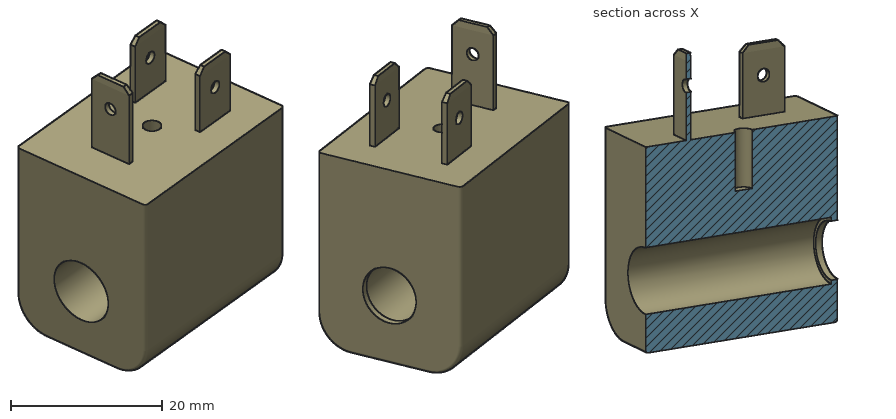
import cadquery as cq

BODY_WIDTH = 21.8
BODY_DEPTH = 29.5
TOTAL_HEIGHT = 40.5
FRONT_BLADE_HEIGHT = 12.0
BODY_HEIGHT = TOTAL_HEIGHT - FRONT_BLADE_HEIGHT
BOTTOM_CORNER_RADIUS = 5.0
EDGE_RADIUS = 0.5

BORE_DIAMETER = 9.15
BACK_BORE_DIAMETER = 8.1
BORE_HEIGHT = 10.0
BACK_LIP_THICKNESS = 1.0

SCREW_HOLE_DIAMETER = 2.5
SCREW_HOLE_DEPTH = 8.1
SCREW_HOLE_Y = 0.32

FRONT_BLADE_WIDTH = 6.3
SIDE_BLADE_WIDTH = 6.5
BLADE_THICKNESS = 0.8
BLADE_CHAMFER = 0.97
TIP_THICKNESS = 0.65
BLADE_HOLE_DIAMETER = 1.8
BLADE_HOLE_FROM_TIP = 4.5
SIDE_BLADE_HEIGHT = 10.0
SIDE_BLADE_SPACING = 10.98
SIDE_BLADE_Y = 6.35
FRONT_BLADE_Y = -8.15


def make_body():
    """Block with rounded lower corners and softened front, back and side edges."""
    block = cq.Workplane("XY").box(BODY_WIDTH, BODY_DEPTH, BODY_HEIGHT, centered=(True, True, False))
    block = block.edges("|Y and <Z").fillet(BOTTOM_CORNER_RADIUS)
    outline_edges = block.faces("<Y or >Y").edges("not >Z")
    return outline_edges.fillet(EDGE_RADIUS)


def cut_bore(body):
    """Cut the through bore and its wider front length."""
    front = cq.Workplane("XZ", origin=(0, -BODY_DEPTH / 2, BORE_HEIGHT))
    back_bore = front.circle(BACK_BORE_DIAMETER / 2).extrude(-BODY_DEPTH)
    wide_bore = front.circle(BORE_DIAMETER / 2).extrude(-(BODY_DEPTH - BACK_LIP_THICKNESS))
    return body.cut(back_bore).cut(wide_bore)


def cut_screw_hole(body):
    """Cut the blind hole down from the top face."""
    top = cq.Workplane("XY", origin=(0, SCREW_HOLE_Y, BODY_HEIGHT))
    return body.cut(top.circle(SCREW_HOLE_DIAMETER / 2).extrude(-SCREW_HOLE_DEPTH))


def make_blade(width, height):
    """Blade along X with its foot at the origin, chamfered corners, a thinned tip and a hole."""
    half_width = width / 2
    shoulder = height - BLADE_CHAMFER
    face_outline = (
        cq.Workplane("XZ")
        .polyline([
            (-half_width, 0),
            (half_width, 0),
            (half_width, shoulder),
            (half_width - BLADE_CHAMFER, height),
            (BLADE_CHAMFER - half_width, height),
            (-half_width, shoulder),
        ])
        .close()
        .extrude(BLADE_THICKNESS / 2, both=True)
    )
    edge_outline = (
        cq.Workplane("YZ")
        .polyline([
            (-BLADE_THICKNESS / 2, 0),
            (BLADE_THICKNESS / 2, 0),
            (BLADE_THICKNESS / 2, shoulder),
            (TIP_THICKNESS / 2, height),
            (-TIP_THICKNESS / 2, height),
            (-BLADE_THICKNESS / 2, shoulder),
        ])
        .close()
        .extrude(half_width, both=True)
    )
    hole = (
        cq.Workplane("XZ", origin=(0, 0, height - BLADE_HOLE_FROM_TIP))
        .circle(BLADE_HOLE_DIAMETER / 2)
        .extrude(BLADE_THICKNESS, both=True)
    )
    return face_outline.intersect(edge_outline).cut(hole)


result = cut_screw_hole(cut_bore(make_body()))

front_blade = make_blade(FRONT_BLADE_WIDTH, FRONT_BLADE_HEIGHT)
result = result.union(front_blade.translate((0, FRONT_BLADE_Y, BODY_HEIGHT)))

side_blade = make_blade(SIDE_BLADE_WIDTH, SIDE_BLADE_HEIGHT).rotate((0, 0, 0), (0, 0, 1), 90)
for side in (-1, 1):
    blade_x = side * SIDE_BLADE_SPACING / 2
    result = result.union(side_blade.translate((blade_x, SIDE_BLADE_Y, BODY_HEIGHT)))